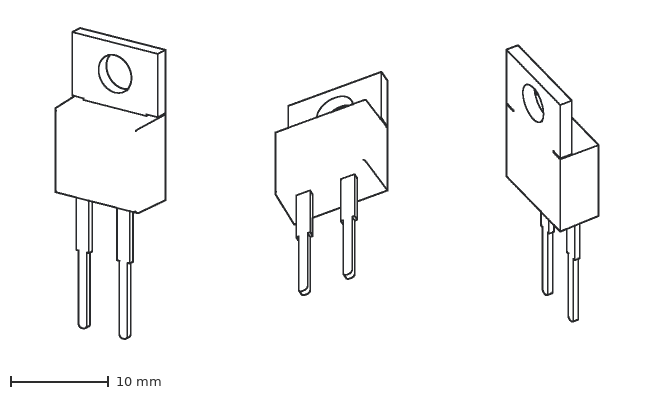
import cadquery as cq
import math

total_height = 31.25
package_width = 10.68
package_depth = 4.8

tab_thickness = 1.4
tab_height = 6.97
hole_diameter = 4.1
hole_drop = 3.4

lead_length = 14.7
draft_angle = 2.2
front_edge_radius = 0.22
slit_height = 0.12
slit_depth = 1.4

lead_pitch = 5.1
lead_thickness = 0.62
lead_setback = 2.95
shoulder_width = 1.6
shoulder_length = 6.28
pin_width = 1.03
tip_radius = 0.45

tab_bottom = total_height - tab_height
body_top = tab_bottom - slit_height
body_bottom = lead_length
body_middle = (body_top + body_bottom) / 2
draft_inset = package_depth * math.tan(math.radians(draft_angle))


def block(width, back, front, bottom, top, center_x=0):
    """Box centred on center_x; back and front are distances from the back plane."""
    return (
        cq.Workplane("XY")
        .box(width, front - back, top - bottom, centered=(True, False, False))
        .translate((center_x, -front, bottom))
    )


def make_tab():
    """Flat plate with the hole and a narrower neck reaching down to the body."""
    plate = block(package_width, 0, tab_thickness, tab_bottom, total_height)
    neck = block(package_width - 2 * slit_depth, 0, tab_thickness, body_middle, tab_bottom)
    hole = (
        cq.Workplane("XZ")
        .center(0, total_height - hole_drop)
        .circle(hole_diameter / 2)
        .extrude(tab_thickness)
    )
    return plate.union(neck).cut(hole)


def make_body():
    """Loft from the full back outline to the drafted front, with rounded front edges."""
    back_height = body_top - body_bottom
    front_height = back_height - draft_inset
    front_width = package_width - 2 * draft_inset
    return (
        cq.Workplane("XZ")
        .center(0, body_bottom + back_height / 2)
        .rect(package_width, back_height)
        .workplane(offset=package_depth)
        .center(0, -draft_inset / 2)
        .rect(front_width, front_height)
        .loft(ruled=True)
        .faces("<Y")
        .edges()
        .fillet(front_edge_radius)
    )


def make_lead(center_x):
    """Wide shoulder below the body, then a slim pin with a rounded tip."""
    back = lead_setback
    front = lead_setback + lead_thickness
    shoulder_bottom = body_bottom - shoulder_length
    shoulder = block(shoulder_width, back, front, shoulder_bottom, body_middle, center_x)
    pin = block(pin_width, back, front, 0, shoulder_bottom, center_x)
    pin = pin.faces("<Z").edges("|Y").fillet(tip_radius)
    return shoulder.union(pin)


result = make_tab().union(make_body())
for side in (-1, 1):
    result = result.union(make_lead(side * lead_pitch / 2))